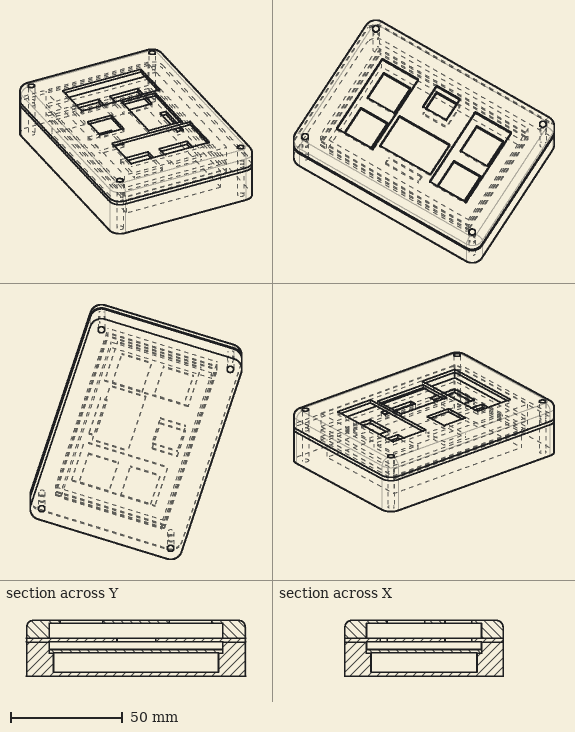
import cadquery as cq

case_length = 98.0
case_width = 71.0
case_height = 25.2
base_height = 15.5
plate_thickness = 1.7
corner_radius = 5.2
top_edge_radius = 3.1

plate_bottom = base_height
plate_top = plate_bottom + plate_thickness

screw_diameter = 2.9
screw_spacing_x = case_length - 2 * corner_radius
screw_spacing_y = case_width - 2 * corner_radius

cavity_length = 77.6
cavity_width = 51.3
lid_top_thickness = 1.5
floor_thickness = 2.0

column_x = 24.4
key_pitch = 19.6
key_hole_size = 14.0
key_window_width = 18.9
key_window_length = 2 * key_pitch

display_x = -0.2
display_y = 8.1
display_width = 26.4
display_length = 16.8
header_slot_width = 17.2
header_slot_length = 3.0
header_slot_y = display_y + (display_length + header_slot_length) / 2

joystick_x = 0.3
joystick_y = -15.4
joystick_width = 12.25
joystick_length = 11.9

board_thickness = 1.7
board_gap = 3.3
ledge_width = 2.0
board_top = plate_bottom - board_gap
board_bottom = board_top - board_thickness


def block(length, width, bottom, top, x=0, y=0):
    """Rectangular block centred at (x, y) between two heights."""
    return (
        cq.Workplane("XY", origin=(x, y, bottom))
        .rect(length, width)
        .extrude(top - bottom)
    )


def case_layer(bottom, top):
    """Full-outline layer with rounded vertical corners."""
    return block(case_length, case_width, bottom, top).edges("|Z").fillet(corner_radius)


def cut_screw_holes(layer):
    """Drill the four corner holes right through a layer."""
    drills = (
        cq.Workplane("XY")
        .rect(screw_spacing_x, screw_spacing_y, forConstruction=True)
        .vertices()
        .circle(screw_diameter / 2)
        .extrude(case_height)
    )
    return layer.cut(drills)


def joystick_opening(bottom, top):
    return block(joystick_width, joystick_length, bottom, top, joystick_x, joystick_y)


def make_base():
    """Bottom box with a recess for the board and a narrower cavity below it."""
    base = case_layer(0, base_height)
    base = base.cut(block(cavity_length, cavity_width, board_bottom, base_height))
    lower_length = cavity_length - 2 * ledge_width
    lower_width = cavity_width - 2 * ledge_width
    base = base.cut(block(lower_length, lower_width, floor_thickness, board_bottom))
    return cut_screw_holes(base)


def make_board():
    return block(cavity_length, cavity_width, board_bottom, board_top)


def make_plate():
    """Switch plate with key holes, a header slot and the joystick opening."""
    plate = case_layer(plate_bottom, plate_top)
    for x in (-column_x, column_x):
        for y in (-key_pitch / 2, key_pitch / 2):
            plate = plate.cut(block(key_hole_size, key_hole_size, plate_bottom, plate_top, x, y))
    plate = plate.cut(
        block(header_slot_width, header_slot_length, plate_bottom, plate_top, display_x, header_slot_y)
    )
    plate = plate.cut(joystick_opening(plate_bottom, plate_top))
    return cut_screw_holes(plate)


def make_lid():
    """Hollow cover with a rounded top rim and windows through its thin top."""
    lid = case_layer(plate_top, case_height).faces(">Z").edges().fillet(top_edge_radius)
    lid_ceiling = case_height - lid_top_thickness
    lid = lid.cut(block(cavity_length, cavity_width, plate_top, lid_ceiling))
    for x in (-column_x, column_x):
        lid = lid.cut(block(key_window_width, key_window_length, lid_ceiling, case_height, x))
    lid = lid.cut(
        block(display_width, display_length, lid_ceiling, case_height, display_x, display_y)
    )
    lid = lid.cut(joystick_opening(lid_ceiling, case_height))
    return cut_screw_holes(lid)


base = make_base().solids()
board = make_board()
plate = make_plate().solids()
lid = make_lid().solids()

result = cq.Compound.makeCompound([base.val(), board.val(), plate.val(), lid.val()])